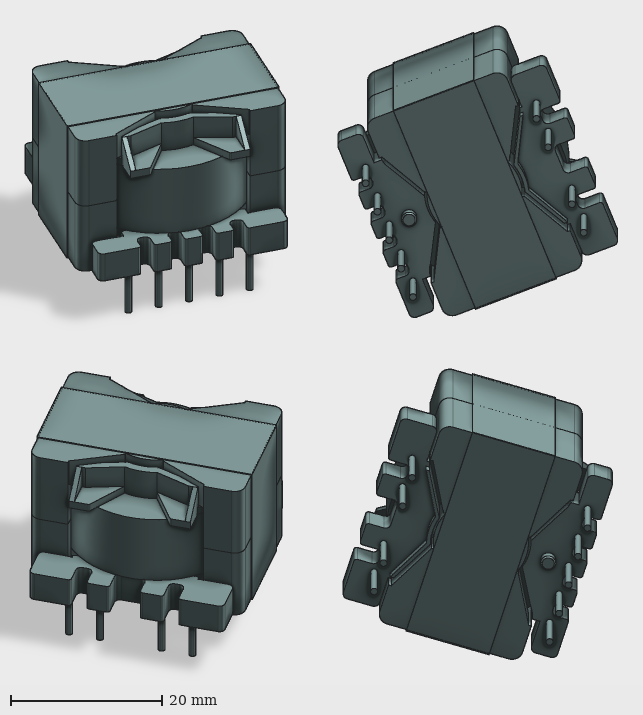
import cadquery as cq
import math


CORE_HALF_X = 9.88
CORE_HALF_Y = 14.7
CORE_HALF_Z = 10.15
CORE_CORNER_R = 1.48
POST_R = 6.3
WINDOW_R = 12.58
WINDOW_HALF_Z = 6.25
NOTCH_HALF_Y = 9.32
NOTCH_OUTER_X = 9.5
NOTCH_INNER_X = 6.0
NOTCH_INNER_HALF_Y = 2.65
NOTCH_FLOOR_X = 5.65

TAPE_WIDTH = 11.45
TAPE_THICKNESS = 0.15

COIL_R = 12.5
COIL_TOP_Z = 4.93
COIL_BOTTOM_Z = -5.05
BORE_R = 6.65
TUBE_R = 7.18
FLANGE_R = COIL_R
FLANGE_THICKNESS = 1.1
EAR_TOP_Z = COIL_TOP_Z + FLANGE_THICKNESS

EAR_OUTER_X = 12.7
EAR_HALF_Y = 8.37
EAR_OPENING_HALF_Y = 5.58
EAR_CORNER_R = 0.3
WALL_TOP_Z = 9.23
WALL_ARC_R = 7.8
WALL_ARC_HALF_Y = 2.23
WALL_NECK_OUTER_X = math.sqrt(WALL_ARC_R**2 - WALL_ARC_HALF_Y**2)
WALL_OUTER_X = 9.62
WALL_INNER_X = 8.45
WALL_NECK_X = 6.32
WALL_NECK_HALF_Y = 2.05
GUSSET_THICKNESS = 0.75
GUSSET_INNER_X = 9.17

BASE_BOTTOM_Z = -9.25
BASE_HALF_Y = 8.7
BASE_INNER_X = 9.8
BASE_WALL_X = 9.6
BASE_WALL_HALF_Y = 7.98
BASE_NECK_X = 6.35
BASE_NECK_HALF_Y = 1.95
SLOT_END_X = 12.02
SLOT_CORNER_R = 0.75
BLOCK_CORNER_R = 0.77
FINGER_CORNER_R = 0.4
LEFT_FINGERS = [
    (-10.15, -15.17, -13.65, -7.42),
    (-11.28, -15.17, -5.35, -2.1),
    (-11.28, -15.17, 2.08, 5.22),
    (-10.15, -15.17, 7.4, 13.18),
]
RIGHT_FINGERS = [
    (10.85, 14.28, -13.3, -7.42),
    (11.28, 14.37, -5.6, -3.1),
    (11.28, 14.37, -1.35, 1.22),
    (11.28, 14.37, 3.05, 5.58),
    (10.85, 14.48, 7.4, 13.18),
]

STANDOFF_BOTTOM_Z = -10.6
STANDOFF_WALL_OUTER_X = 10.05
FOOT_X = 9.32
FOOT_R = 1.0
FOOT_CHAMFER = 0.2

PIN_X = 12.15
PIN_R = 0.46
PIN_BOTTOM_Z = -16.1
PIN_PITCH = 4.25
LEFT_PIN_STEPS = (-2, -1, 1, 2)
RIGHT_PIN_STEPS = (-2, -1, 0, 1, 2)

OVERCUT = 1.48


def level(z):
    return cq.Workplane("XY").workplane(offset=z)


def cylinder(radius, z_low, z_high, x=0.0, y=0.0):
    return level(z_low).center(x, y).circle(radius).extrude(z_high - z_low)


def block(x_a, x_b, y_low, y_high, z_low, z_high):
    plan = level(z_low).center((x_a + x_b) / 2, (y_low + y_high) / 2)
    return plan.rect(abs(x_b - x_a), y_high - y_low).extrude(z_high - z_low)


def symmetric_prism(side, half_plan, z_low, z_high):
    """Prism whose plan is a list of (x, y) points on +Y and their reflections on -Y."""
    upper = [(side * x, y) for x, y in half_plan]
    lower = [(x, -y) for x, y in reversed(upper)]
    return level(z_low).polyline(upper + lower).close().extrude(z_high - z_low)


def arc_wall(side, outer_end, outer_neck, arc_r, inner_neck, inner_end, z_low, z_high):
    """Wall with a round middle bulging outwards and a straight wing at each end."""

    def point(xy, mirror=1):
        return (side * xy[0], mirror * xy[1])

    return (
        level(z_low)
        .moveTo(*point(outer_end))
        .lineTo(*point(outer_neck))
        .threePointArc((side * arc_r, 0), point(outer_neck, -1))
        .lineTo(*point(outer_end, -1))
        .lineTo(*point(inner_end, -1))
        .lineTo(*point(inner_neck, -1))
        .lineTo(*point(inner_neck))
        .lineTo(*point(inner_end))
        .close()
        .extrude(z_high - z_low)
    )


def core_notch(side):
    """Space between the core legs on one side, over the full core height."""
    half_plan = [
        (CORE_HALF_X + OVERCUT, NOTCH_HALF_Y),
        (NOTCH_OUTER_X, NOTCH_HALF_Y),
        (NOTCH_INNER_X, NOTCH_INNER_HALF_Y),
        (NOTCH_FLOOR_X, NOTCH_INNER_HALF_Y),
    ]
    return symmetric_prism(side, half_plan, -CORE_HALF_Z, CORE_HALF_Z)


def core_window():
    """Space for the coil: round inside the core, straight between the leg tips."""
    window = cylinder(WINDOW_R, -WINDOW_HALF_Z, WINDOW_HALF_Z)
    leg_gap = block(
        -CORE_HALF_X, CORE_HALF_X, -NOTCH_HALF_Y, NOTCH_HALF_Y, -WINDOW_HALF_Z, WINDOW_HALF_Z
    )
    return window.union(leg_gap)


def make_core_half(z_low, z_high):
    core = block(-CORE_HALF_X, CORE_HALF_X, -CORE_HALF_Y, CORE_HALF_Y, z_low, z_high)
    core = core.edges("|Z").fillet(CORE_CORNER_R)
    core = core.cut(core_window())
    for side in (-1, 1):
        core = core.cut(core_notch(side))
    post = cylinder(POST_R, z_low, z_high)
    return core.union(post)


def make_tape():
    half_x = TAPE_WIDTH / 2
    outer_y = CORE_HALF_Y + TAPE_THICKNESS
    outer_z = CORE_HALF_Z + TAPE_THICKNESS
    band = block(-half_x, half_x, -outer_y, outer_y, -outer_z, outer_z)
    inside = block(-half_x, half_x, -CORE_HALF_Y, CORE_HALF_Y, -CORE_HALF_Z, CORE_HALF_Z)
    return band.cut(inside)


def make_coil():
    coil = cylinder(COIL_R, COIL_BOTTOM_Z, COIL_TOP_Z)
    return coil.cut(cylinder(TUBE_R, COIL_BOTTOM_Z, COIL_TOP_Z))


def make_upper_flange():
    """Round flange with a squared pair of ears and a wedge-shaped opening on each side."""
    flange = cylinder(FLANGE_R, COIL_TOP_Z, EAR_TOP_Z)
    opening_slope = (EAR_OPENING_HALF_Y - WALL_ARC_HALF_Y) / (EAR_OUTER_X - WALL_NECK_OUTER_X)
    opening_half_plan = [
        (WALL_NECK_OUTER_X, WALL_ARC_HALF_Y),
        (EAR_OUTER_X + OVERCUT, EAR_OPENING_HALF_Y + OVERCUT * opening_slope),
    ]
    for side in (-1, 1):
        ears = block(
            side * GUSSET_INNER_X, side * EAR_OUTER_X, -EAR_HALF_Y, EAR_HALF_Y, COIL_TOP_Z, EAR_TOP_Z
        )
        opening = symmetric_prism(side, opening_half_plan, COIL_TOP_Z, EAR_TOP_Z)
        flange = flange.union(ears).cut(opening)
    for x in (-EAR_OUTER_X, EAR_OUTER_X):
        for y in (-EAR_OPENING_HALF_Y, EAR_OPENING_HALF_Y):
            corner = cq.selectors.NearestToPointSelector((x, y, (COIL_TOP_Z + EAR_TOP_Z) / 2))
            flange = flange.edges(corner).fillet(EAR_CORNER_R)
    return flange


def make_upper_wall(side):
    """Wall along the core notch, trimmed by the notch sides and the gussets."""
    wall = arc_wall(
        side,
        outer_end=(WALL_OUTER_X, EAR_HALF_Y),
        outer_neck=(WALL_NECK_OUTER_X, WALL_ARC_HALF_Y),
        arc_r=WALL_ARC_R,
        inner_neck=(WALL_NECK_X, WALL_NECK_HALF_Y),
        inner_end=(WALL_INNER_X, EAR_HALF_Y),
        z_low=COIL_TOP_Z,
        z_high=WALL_TOP_Z,
    )
    gusset_limit = block(
        0, side * GUSSET_INNER_X, -EAR_HALF_Y, EAR_HALF_Y, COIL_TOP_Z, WALL_TOP_Z
    )
    return wall.intersect(core_notch(side)).intersect(gusset_limit)


def make_gusset(side, y_low):
    """Sloped end plate from the ear's outer edge up to the wall top."""
    profile = [
        (side * GUSSET_INNER_X, COIL_TOP_Z),
        (side * EAR_OUTER_X, COIL_TOP_Z),
        (side * EAR_OUTER_X, EAR_TOP_Z),
        (side * GUSSET_INNER_X, WALL_TOP_Z),
    ]
    plane = cq.Workplane("XZ").workplane(offset=-y_low)
    return plane.polyline(profile).close().extrude(-GUSSET_THICKNESS)


def make_finger(root_x, tip_x, y_low, y_high):
    """Pin block; a corner outside the base width gets the large radius."""
    finger = block(root_x, tip_x, y_low, y_high, BASE_BOTTOM_Z, COIL_BOTTOM_Z)
    if y_high > BASE_HALF_Y:
        finger = finger.edges("|Z and >Y").fillet(BLOCK_CORNER_R)
        return finger.edges("|Z and <Y").fillet(FINGER_CORNER_R)
    if y_low < -BASE_HALF_Y:
        finger = finger.edges("|Z and <Y").fillet(BLOCK_CORNER_R)
        return finger.edges("|Z and >Y").fillet(FINGER_CORNER_R)
    return finger.edges("|Z").fillet(FINGER_CORNER_R)


def make_slot(side, y_low, y_high):
    """Gap between two fingers, with rounded corners at its closed end."""
    outer_x = SLOT_END_X + SLOT_CORNER_R
    slot = block(
        side * SLOT_END_X, side * (outer_x + OVERCUT), y_low, y_high, BASE_BOTTOM_Z, COIL_BOTTOM_Z
    )
    closed_end = "|Z and >X" if side < 0 else "|Z and <X"
    return slot.edges(closed_end).fillet(SLOT_CORNER_R)


def make_base(side, fingers):
    """Plate filling the core notch, carrying one row of fingers."""
    half_plan = [
        (SLOT_END_X + SLOT_CORNER_R, BASE_HALF_Y),
        (BASE_INNER_X, BASE_HALF_Y),
        (BASE_WALL_X, BASE_WALL_HALF_Y),
        (BASE_NECK_X, BASE_NECK_HALF_Y),
    ]
    base = symmetric_prism(side, half_plan, BASE_BOTTOM_Z, COIL_BOTTOM_Z)
    for finger in fingers:
        base = base.union(make_finger(*finger))
    return base


def make_standoff_wall(side):
    """Standoff under the base, hugging the core notch."""
    neck_x = math.sqrt(TUBE_R**2 - BASE_NECK_HALF_Y**2)
    return arc_wall(
        side,
        outer_end=(STANDOFF_WALL_OUTER_X, BASE_WALL_HALF_Y),
        outer_neck=(neck_x, BASE_NECK_HALF_Y),
        arc_r=TUBE_R,
        inner_neck=(BASE_NECK_X, BASE_NECK_HALF_Y),
        inner_end=(BASE_WALL_X, BASE_WALL_HALF_Y),
        z_low=STANDOFF_BOTTOM_Z,
        z_high=BASE_BOTTOM_Z,
    )


def make_foot(side):
    """Round standoff foot with a chamfered lower rim."""
    foot = cylinder(FOOT_R, STANDOFF_BOTTOM_Z, BASE_BOTTOM_Z, x=side * FOOT_X)
    return foot.faces("<Z").chamfer(FOOT_CHAMFER)


def make_bobbin():
    """Spool, pin bases and pins as one moulded body."""
    lower_flange_z = COIL_BOTTOM_Z - FLANGE_THICKNESS
    bobbin = cylinder(TUBE_R, lower_flange_z, EAR_TOP_Z)
    bobbin = bobbin.union(cylinder(FLANGE_R, lower_flange_z, COIL_BOTTOM_Z))
    bobbin = bobbin.union(make_upper_flange())
    for side in (-1, 1):
        bobbin = bobbin.union(make_upper_wall(side))
        for y_low in (-EAR_HALF_Y, EAR_HALF_Y - GUSSET_THICKNESS):
            bobbin = bobbin.union(make_gusset(side, y_low))

    for side, fingers in ((-1, LEFT_FINGERS), (1, RIGHT_FINGERS)):
        bobbin = bobbin.union(make_base(side, fingers))
        for lower, upper in zip(fingers, fingers[1:]):
            bobbin = bobbin.cut(make_slot(side, lower[3], upper[2]))

    bobbin = bobbin.union(make_standoff_wall(-1))
    bobbin = bobbin.union(make_foot(1))
    bobbin = bobbin.cut(cylinder(BORE_R, STANDOFF_BOTTOM_Z, WALL_TOP_Z))

    for side, steps in ((-1, LEFT_PIN_STEPS), (1, RIGHT_PIN_STEPS)):
        for step in steps:
            pin = cylinder(PIN_R, PIN_BOTTOM_Z, BASE_BOTTOM_Z, side * PIN_X, step * PIN_PITCH)
            bobbin = bobbin.union(pin)
    return bobbin


upper_core = make_core_half(0, CORE_HALF_Z)
lower_core = make_core_half(-CORE_HALF_Z, 0)
tape = make_tape()
coil = make_coil()
bobbin = make_bobbin()

result = cq.Compound.makeCompound(
    [upper_core.val(), lower_core.val(), tape.val(), coil.val(), bobbin.val()]
)